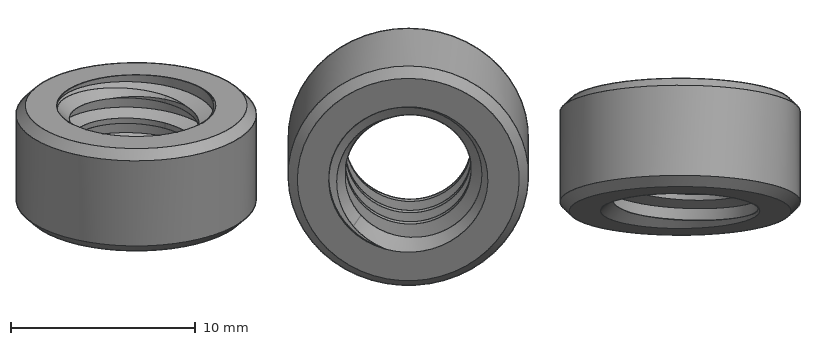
import cadquery as cq
import math

outer_diameter = 13.0
height = 6.0
outer_chamfer = 0.51

bore_diameter = 6.8
bore_radius = bore_diameter / 2
root_radius = 4.29
pitch = 1.5
root_flat = 0.64
flank_half_angle = 17.0
top_groove_height = 2.42

mouth_radius = 4.3

blank_seam_angle = 90.0

groove_overlap = 0.06
turns_below_top_groove = math.ceil(height / pitch)
turns = turns_below_top_groove + 1


def ring_blank():
    """Chamfered ring with a countersunk bore, revolved about Z from its section."""
    half_height = height / 2
    outer_radius = outer_diameter / 2
    countersink_depth = mouth_radius - bore_radius
    section = (
        cq.Workplane("XZ")
        .moveTo(bore_radius, countersink_depth - half_height)
        .lineTo(mouth_radius, -half_height)
        .lineTo(outer_radius - outer_chamfer, -half_height)
        .lineTo(outer_radius, outer_chamfer - half_height)
        .lineTo(outer_radius, half_height - outer_chamfer)
        .lineTo(outer_radius - outer_chamfer, half_height)
        .lineTo(mouth_radius, half_height)
        .lineTo(bore_radius, half_height - countersink_depth)
        .close()
    )
    return section.revolve(360, (0, 0, 0), (0, 1, 0)).rotate((0, 0, 0), (0, 0, 1), blank_seam_angle)


def thread_groove():
    """Trapezoidal groove with helical sides, running out past both faces of the ring."""
    inner_radius = bore_radius - groove_overlap
    flank_rise = (root_radius - inner_radius) * math.tan(math.radians(flank_half_angle))
    root_half = root_flat / 2
    mouth_half = root_half + flank_rise
    start = top_groove_height - turns_below_top_groove * pitch
    corners = [
        (inner_radius, -mouth_half),
        (root_radius, -root_half),
        (root_radius, root_half),
        (inner_radius, mouth_half),
    ]
    helices = [
        cq.Wire.makeHelix(pitch, turns * pitch, radius).translate(cq.Vector(0, 0, start + offset))
        for radius, offset in corners
    ]
    sides = [
        cq.Face.makeRuledSurface(helix, next_helix)
        for helix, next_helix in zip(helices, helices[1:] + helices[:1])
    ]
    ends = []
    for end_height in (start, start + turns * pitch):
        profile = [cq.Vector(radius, 0, end_height + offset) for radius, offset in corners]
        ends.append(cq.Face.makeFromWires(cq.Wire.makePolygon(profile, close=True)))
    return cq.Workplane(cq.Solid.makeSolid(cq.Shell.makeShell(sides + ends)))


result = ring_blank().cut(thread_groove())